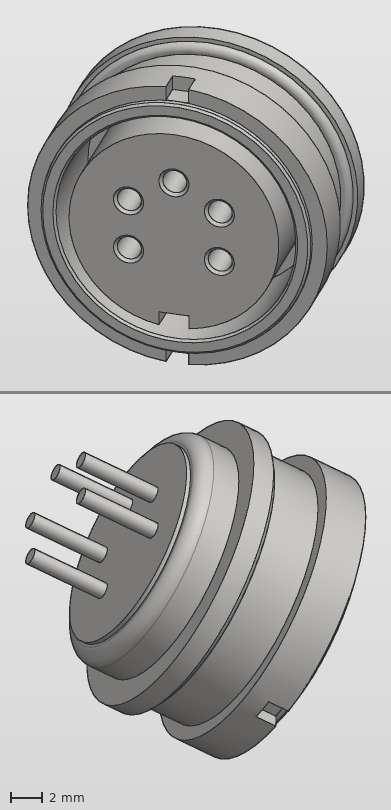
import cadquery as cq
import math


insert_radius = 7.0
insert_back = 12.5
key_width = 2.0
key_floor = 6.0

shell_radius = 9.0
shell_front = 0.3
shell_bore_radius = 8.0
shell_chamfer = 0.15
recess_end = 7.8
rear_radius = 8.2
rear_end = 12.2
rear_fillet = 1.0

outer_radius = 10.0
ring_front = 0.8
ring_back = 3.8
notch_width = 1.5
notch_depth = 1.5
notch_floor = shell_radius
flange_front = 7.8
flange_back = 9.3

seal_tube_radius = 0.5
seal_center_radius = 9.2

contact_circle_radius = 3.5
contact_angles = (-30, 30, 90, 150, 210)
socket_diameter = 1.6
socket_chamfer = 0.2
socket_depth = 6.0
pin_diameter = 1.1
pin_end = 18.0


def plane_at(depth):
    """XZ plane at a given depth, with its normal pointing to the back (+Y)."""
    return cq.Workplane(cq.Plane(origin=(0, depth, 0), xDir=(-1, 0, 0), normal=(0, 1, 0)))


def disc(radius, front, back):
    return plane_at(front).circle(radius).extrude(back - front)


def at_contacts(depth):
    """Workplane at a given depth with a point at each contact."""
    places = [
        (
            contact_circle_radius * math.cos(math.radians(angle)),
            contact_circle_radius * math.sin(math.radians(angle)),
        )
        for angle in contact_angles
    ]
    return plane_at(depth).pushPoints(places)


def make_shell():
    front_tube = disc(shell_radius, shell_front, flange_back)
    bore = disc(shell_bore_radius, shell_front, recess_end)
    front_tube = front_tube.cut(bore).faces("<Y").chamfer(shell_chamfer)
    rear = disc(rear_radius, flange_front, rear_end).faces(">Y").edges().fillet(rear_fillet)
    flange = disc(outer_radius, flange_front, flange_back)
    return front_tube.union(rear).union(flange)


def make_seal():
    seal = cq.Solid.makeTorus(
        seal_center_radius, seal_tube_radius, cq.Vector(0, flange_front, 0), cq.Vector(0, 1, 0)
    )
    return cq.Workplane(seal)


def make_front_ring():
    """Ring with a wrench notch at the top and at the bottom of its front face."""
    ring = disc(outer_radius, ring_front, ring_back)
    notch_height = outer_radius - notch_floor
    notch_middle = notch_floor + notch_height / 2
    notches = (
        plane_at(ring_front)
        .pushPoints([(0, notch_middle), (0, -notch_middle)])
        .rect(notch_width, notch_height)
        .extrude(notch_depth)
    )
    ring = ring.cut(notches)
    return ring.cut(disc(shell_radius, ring_front, ring_back))


def make_insert():
    insert = disc(insert_radius, 0, insert_back)
    key_height = insert_radius - key_floor
    keyway = (
        plane_at(0)
        .center(0, -key_floor - key_height / 2)
        .rect(key_width, key_height)
        .extrude(recess_end)
    )
    sockets = at_contacts(0).circle(socket_diameter / 2).extrude(socket_depth)
    countersinks = (
        at_contacts(0)
        .circle(socket_diameter / 2 + socket_chamfer)
        .extrude(socket_chamfer, taper=45)
    )
    return insert.cut(keyway).cut(sockets).cut(countersinks)


def make_pins():
    return at_contacts(insert_back).circle(pin_diameter / 2).extrude(pin_end - insert_back)


result = (
    make_shell()
    .union(make_seal())
    .union(make_front_ring())
    .union(make_insert())
    .union(make_pins())
)